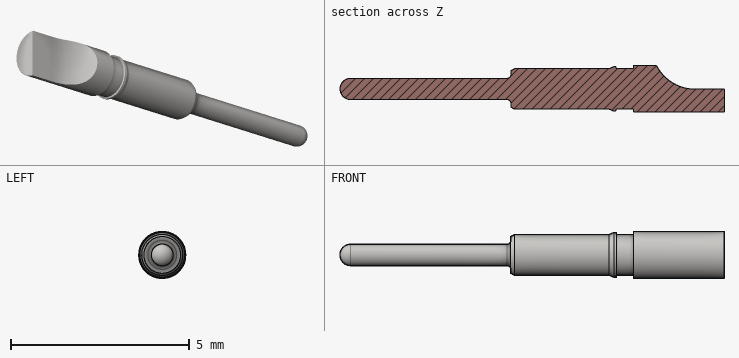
import cadquery as cq
import math

total_length = 10.79

pin_radius = 0.305
pin_root_fillet = 0.10

shoulder_x = 4.79
body_radius = 0.575
body_chamfer_length = 0.11
body_chamfer_depth = 0.06

barb_start_x = 7.55
barb_ramp_length = 0.13
barb_land_length = 0.07
barb_radius = 0.63

cup_length = 2.56
cup_radius = 0.66
cup_end_chamfer = 0.02

flat_length = 0.835
opening_arc_radius = 1.2


def make_turned_body():
    """Revolve the half profile, drawn in the XZ plane, about the X axis."""
    diagonal = math.sqrt(0.5)
    tip_mid = (pin_radius * (1 - diagonal), pin_radius * diagonal)
    root_start = (shoulder_x - pin_root_fillet, pin_radius)
    root_mid = (
        shoulder_x - pin_root_fillet * (1 - diagonal),
        pin_radius + pin_root_fillet * (1 - diagonal),
    )
    root_end = (shoulder_x, pin_radius + pin_root_fillet)
    barb_land_x = barb_start_x + barb_ramp_length
    barb_back_x = barb_land_x + barb_land_length
    cup_x = total_length - cup_length

    profile = (
        cq.Workplane("XZ")
        .moveTo(0, 0)
        .threePointArc(tip_mid, (pin_radius, pin_radius))
        .lineTo(*root_start)
        .threePointArc(root_mid, root_end)
        .lineTo(shoulder_x, body_radius - body_chamfer_depth)
        .lineTo(shoulder_x + body_chamfer_length, body_radius)
        .lineTo(barb_start_x, body_radius)
        .lineTo(barb_land_x, barb_radius)
        .lineTo(barb_back_x, barb_radius)
        .lineTo(barb_back_x, body_radius)
        .lineTo(cup_x, body_radius)
        .lineTo(cup_x, cup_radius)
        .lineTo(total_length - cup_end_chamfer, cup_radius)
        .lineTo(total_length, cup_radius - cup_end_chamfer)
        .lineTo(total_length, 0)
        .close()
    )
    return profile.revolve(360, (0, 0, 0), (1, 0, 0))


def make_cup_opening():
    """Cutter for the +Y half of the cup; its arc is tangent to the flat at Y = 0."""
    tangent_x = total_length - flat_length
    end_angle = math.acos(1 - cup_radius / opening_arc_radius)

    def arc_point(angle):
        return (
            tangent_x - opening_arc_radius * math.sin(angle),
            opening_arc_radius * (1 - math.cos(angle)),
        )

    return (
        cq.Workplane("XY")
        .moveTo(tangent_x, 0)
        .threePointArc(arc_point(end_angle / 2), arc_point(end_angle))
        .lineTo(total_length, cup_radius)
        .lineTo(total_length, 0)
        .close()
        .extrude(cup_radius, both=True)
    )


result = make_turned_body().cut(make_cup_opening())